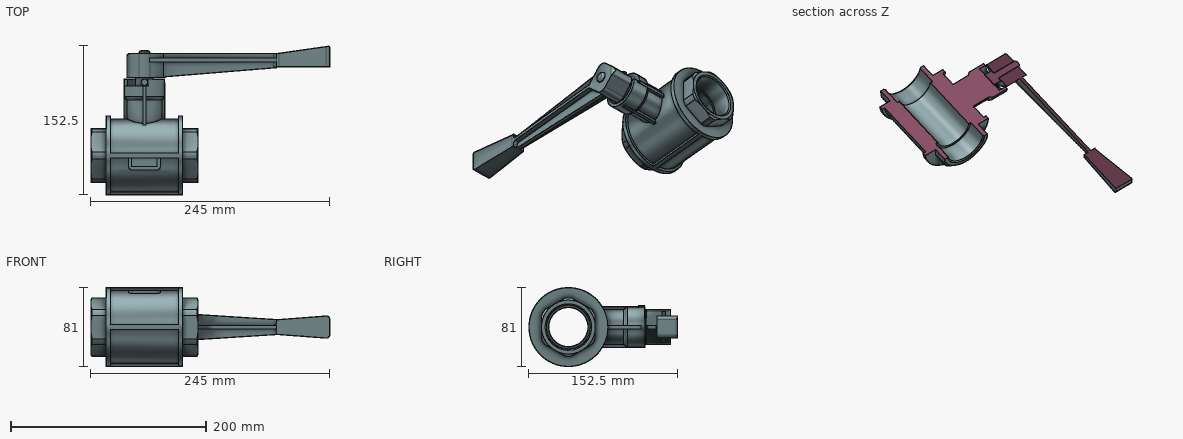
import cadquery as cq
import math


body_length = 110.0
barrel_length = 78.5
barrel_radius = 37.5
flange_radius = 40.5
flange_thickness = 4.5
barrel_rib_width = 5.0
barrel_rib_angles = (0, 90, 180)

hex_across_flats = 55.0
hex_corner_radius = 30.0
hex_end_chamfer = 1.3
hex_end_face_radius = 27.6

bore_radius = 20.0
socket_radius = 22.5
socket_mouth_radius = 23.8
socket_depth = 22.0

badge_half_width = 16.3
badge_length = 14.7
badge_corner_radius = 3.5
badge_rim_width = 3.2
badge_top = barrel_radius
badge_root = barrel_radius - 6.0
badge_recess_depth = 0.5

neck_radius = 18.0
neck_top = 56.7
collar_radius = 20.75
collar_lip_radius = 20.0
collar_lip_height = 58.9
collar_bottom = 60.4
collar_top = 78.4
cup_radius = 17.2
cup_floor = 71.0
neck_rib_reach = 21.0
neck_rib_width = 3.5
neck_rib_top = 74.2
notch_stop_x = 3.7

stem_radius = 9.0
spigot_radius = 5.45
spigot_end_height = 2.7
spigot_end_rounding = 2.4
pin_radius = 3.25
pin_height = 75.0
pin_reach = 21.9

lever_bottom = 79.7
lever_top = 104.8
hub_width = 30.0
hub_corner_rounding = 7.7
hub_top_rounding = 3.5
arm_end = 135.3
web_thickness = 3.7
web_start_bottom = 80.6
web_end_bottom = 89.9
web_end_fillet = 3.0
plate_bottom = 96.0
plate_top = 99.7
plate_start_half_width = 16.4
plate_end_half_width = 7.75

grip_end = 190.0
grip_taper_start = 137.7
grip_bottom = 90.8
grip_end_top = 112.24
grip_end_half_width = 11.7
grip_side_rounding = 3.5
grip_top_rounding = 1.5


def x_cylinder(radius, length):
    """Cylinder on the flow axis, centred on the origin."""
    return cq.Workplane("YZ").circle(radius).extrude(length / 2, both=True)


def y_cylinder(radius, start, end):
    """Cylinder on the stem axis between two heights."""
    return cq.Workplane("XZ", origin=(0, start, 0)).circle(radius).extrude(start - end)


def box_between(low, high):
    """Box from its lowest corner to its highest corner."""
    size = [top - bottom for bottom, top in zip(low, high)]
    return cq.Workplane("XY").box(*size, centered=False).translate(low)


def make_hex_ends():
    """Hexagon with turned corners and chamfered end faces."""
    across_corners = hex_across_flats / math.cos(math.radians(30))
    hexagon = (
        cq.Workplane("YZ")
        .transformed(rotate=(0, 0, 90))
        .polygon(6, across_corners)
        .extrude(body_length / 2, both=True)
    )
    half = body_length / 2
    chamfer_start = half - hex_end_chamfer
    turned_blank = (
        cq.Workplane("XY")
        .moveTo(-half, 0)
        .lineTo(-half, hex_end_face_radius)
        .lineTo(-chamfer_start, hex_corner_radius)
        .lineTo(chamfer_start, hex_corner_radius)
        .lineTo(half, hex_end_face_radius)
        .lineTo(half, 0)
        .close()
        .revolve(360, (0, 0, 0), (1, 0, 0))
    )
    return hexagon.intersect(turned_blank)


def make_barrel():
    """Barrel with an end flange on each side and ribs along X."""
    barrel = x_cylinder(barrel_radius, barrel_length)
    flange_offset = (barrel_length - flange_thickness) / 2
    for side in (-1, 1):
        flange = x_cylinder(flange_radius, flange_thickness)
        barrel = barrel.union(flange.translate((side * flange_offset, 0, 0)))
    flange_disc = x_cylinder(flange_radius, barrel_length)
    for angle in barrel_rib_angles:
        rib = (
            cq.Workplane("XY")
            .box(barrel_length, barrel_rib_width, flange_radius, centered=(True, True, False))
            .rotate((0, 0, 0), (1, 0, 0), angle)
        )
        barrel = barrel.union(rib.intersect(flange_disc))
    return barrel


def make_badge():
    """Flat pad beside the +Z rib."""
    return (
        box_between(
            (-badge_half_width, -badge_length, badge_root),
            (badge_half_width, 0, badge_top),
        )
        .edges("|Z and <Y")
        .fillet(badge_corner_radius)
    )


def make_badge_recess():
    """Shallow window in the badge, open towards the +Z rib."""
    half_width = badge_half_width - badge_rim_width
    return box_between(
        (-half_width, badge_rim_width - badge_length, badge_top - badge_recess_depth),
        (half_width, -barrel_rib_width / 2, badge_top),
    )


def make_neck():
    """Neck and collar, with four ribs standing on the barrel."""
    neck = (
        cq.Workplane("XY")
        .lineTo(neck_radius, 0)
        .lineTo(neck_radius, neck_top)
        .lineTo(collar_lip_radius, collar_lip_height)
        .lineTo(collar_radius, collar_bottom)
        .lineTo(collar_radius, collar_top)
        .lineTo(0, collar_top)
        .close()
        .revolve(360, (0, 0, 0), (0, 1, 0))
    )
    rib_x = (neck_rib_reach, neck_rib_top, neck_rib_width / 2)
    rib_z = (neck_rib_width / 2, neck_rib_top, neck_rib_reach)
    for x, top, z in (rib_x, rib_z):
        neck = neck.union(box_between((-x, 0, -z), (x, top, z)))
    return neck


def make_collar_notch():
    """Opening in the cup wall that the stop pin swings through."""
    reach = 2 * collar_radius
    return box_between((-reach, cup_floor, 0), (notch_stop_x, collar_top, reach))


def make_bore():
    """Through bore with a chamfered socket at each end."""
    half = body_length / 2
    mouth = socket_mouth_radius - socket_radius
    half_profile = (
        cq.Workplane("XY")
        .lineTo(0, bore_radius)
        .lineTo(half - socket_depth, bore_radius)
        .lineTo(half - socket_depth, socket_radius)
        .lineTo(half - mouth, socket_radius)
        .lineTo(half, socket_mouth_radius)
        .lineTo(half, 0)
        .close()
    )
    half_bore = half_profile.revolve(360, (0, 0, 0), (1, 0, 0))
    return half_bore.union(half_bore.mirror("YZ"))


def make_housing():
    """Body with neck and collar, hollowed by the cup, the notch and the bore."""
    housing = make_barrel().union(make_hex_ends())
    housing = housing.union(make_badge()).cut(make_badge_recess())
    housing = housing.union(make_neck())
    housing = housing.cut(y_cylinder(cup_radius, cup_floor, collar_top))
    return housing.cut(make_collar_notch()).cut(make_bore())


def make_stem():
    """Stem on the cup floor, its spigot through the lever, and the stop pin."""
    spigot_end = lever_top + spigot_end_height
    spigot = y_cylinder(spigot_radius, cup_floor, spigot_end)
    spigot = spigot.faces(">Y").edges().fillet(spigot_end_rounding)
    pin = cq.Workplane("XY").center(0, pin_height).circle(pin_radius).extrude(pin_reach)
    return y_cylinder(stem_radius, cup_floor, lever_bottom).union(spigot).union(pin)


def make_hub():
    """Square hub standing on its corner; the corner at +X stays sharp."""
    hub = (
        cq.Workplane("XZ", origin=(0, lever_bottom, 0))
        .rect(hub_width, hub_width)
        .extrude(lever_bottom - lever_top)
        .rotate((0, 0, 0), (0, 1, 0), 45)
        .edges("|Y and (<X or <Z or >Z)")
        .fillet(hub_corner_rounding)
    )
    left = hub.val().BoundingBox().xmin
    side_profile = (
        box_between((left, lever_bottom, -hub_width), (hub_width, lever_top, hub_width))
        .edges("<X and >Y")
        .fillet(hub_top_rounding)
    )
    return hub.intersect(side_profile)


def make_arm():
    """Arm with a cross-shaped section: an upright web and a flat plate through it."""
    hub_tip = hub_width / math.sqrt(2)
    web = (
        cq.Workplane("XY")
        .moveTo(0, lever_top)
        .lineTo(0, web_start_bottom)
        .lineTo(hub_tip, web_start_bottom)
        .lineTo(arm_end, web_end_bottom)
        .lineTo(arm_end, lever_top)
        .close()
        .extrude(web_thickness / 2, both=True)
    )
    plate = (
        cq.Workplane("XZ", origin=(0, plate_bottom, 0))
        .moveTo(0, -plate_start_half_width)
        .lineTo(arm_end, -plate_end_half_width)
        .lineTo(arm_end, plate_end_half_width)
        .lineTo(0, plate_start_half_width)
        .close()
        .extrude(plate_bottom - plate_top)
    )
    return web.union(plate)


def make_web_fillets():
    """Concave fillets where the web runs into the front face of the grip."""
    side = web_thickness / 2
    start = arm_end - web_end_fillet
    fillet = (
        cq.Workplane("XZ", origin=(0, grip_bottom, 0))
        .moveTo(start, 0)
        .lineTo(start, side)
        .radiusArc((arm_end, side + web_end_fillet), -web_end_fillet)
        .lineTo(arm_end, 0)
        .close()
        .extrude(grip_bottom - lever_top)
    )
    return fillet.union(fillet.mirror("XY"))


def make_grip():
    """Grip that widens outwards in height and in width."""
    side_profile = (
        cq.Workplane("XY")
        .moveTo(arm_end, grip_bottom)
        .lineTo(arm_end, lever_top)
        .lineTo(grip_taper_start, lever_top)
        .lineTo(grip_end, grip_end_top)
        .lineTo(grip_end, grip_bottom)
        .close()
        .extrude(grip_end_half_width, both=True)
        .edges(">X and >Y")
        .fillet(grip_top_rounding)
    )
    plan_profile = (
        cq.Workplane("XZ", origin=(0, grip_bottom, 0))
        .moveTo(arm_end, -plate_end_half_width)
        .lineTo(grip_taper_start, -plate_end_half_width)
        .lineTo(grip_end, -grip_end_half_width)
        .lineTo(grip_end, grip_end_half_width)
        .lineTo(grip_taper_start, plate_end_half_width)
        .lineTo(arm_end, plate_end_half_width)
        .close()
        .extrude(grip_bottom - grip_end_top)
        .edges("|Y and >X")
        .fillet(grip_side_rounding)
    )
    return side_profile.intersect(plan_profile)


def make_lever():
    """Hub, arm and grip in one piece, with a hole for the stem's spigot."""
    lever = make_hub().union(make_arm()).union(make_web_fillets()).union(make_grip())
    return lever.cut(y_cylinder(spigot_radius, lever_bottom, lever_top))


housing = make_housing()
stem = make_stem()
lever = make_lever()

result = cq.Compound.makeCompound(
    [housing.solids().val(), stem.solids().val(), lever.solids().val()]
)